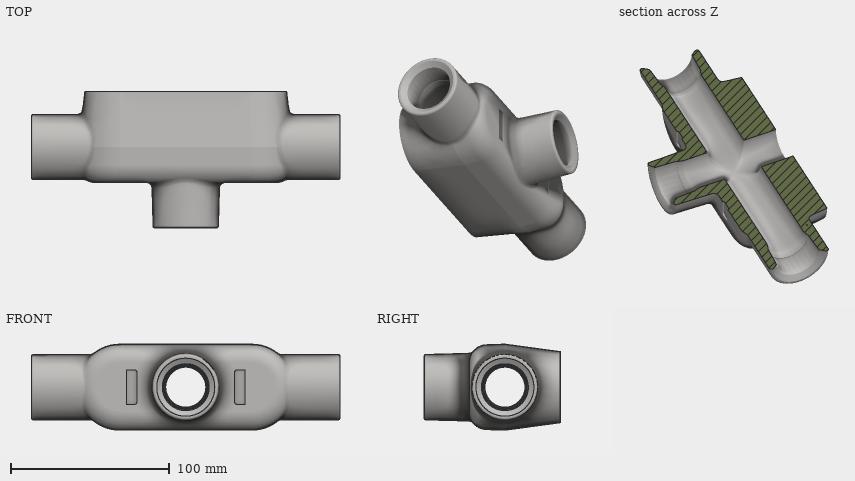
import cadquery as cq
import math

end_centre = 41.2
split_radius = 27.1
back_y = 35.0
back_radius = 22.3
front_y = -22.3
front_draft = 2.0
front_rounding = 11.0
back_draft = math.degrees(math.atan2(split_radius - back_radius, back_y))

run_reach = 97.2
branch_reach = 51.0
hub_radius = 20.6
branch_root_radius = 21.4
lip_rounding = 1.4
run_blend = 2.7
branch_blend = 3.5

mouth_radius = 18.3
socket_start_radius = 14.8
socket_end_radius = 14.0
stop_radius = 13.6
throat_radius = 12.6
chamfer_depth = 2.7
socket_depth = 17.5
throat_depth = 21.4

plate_width = 6.6
plate_height = 21.8
plate_depth = 1.0
plate_centre = 34.0
plate_corner = 1.7

seam_turn = 45
tolerance = 0.02


def drafted_obround(length, draft):
    """Obround narrowing away from the split plane, toward -Y (toward +Y if the length is negative)."""
    outline = cq.Workplane("XZ").slot2D(2 * (end_centre + split_radius), 2 * split_radius)
    return outline.extrude(length, taper=draft)


def turned(profile):
    """Solid of revolution about Z from (radius, height) points."""
    return cq.Workplane("XZ").polyline(profile).close().revolve(360, (0, 0), (0, 1))


def hub(reach, root_height, root_radius):
    """Hub along Z, straight up to the root height, drafted beyond it, with a rounded lip."""
    blank = turned([
        (0, 0),
        (root_radius, 0),
        (root_radius, root_height),
        (hub_radius, reach),
        (0, reach),
    ])
    blank = blank.faces(">Z").edges().fillet(lip_rounding)
    return blank.rotate((0, 0, 0), (0, 0, 1), seam_turn)


def bore(reach):
    """Cutter along Z: chamfered mouth, tapered socket, small stop step, cone to the throat."""
    return turned([
        (0, 0),
        (throat_radius, 0),
        (throat_radius, reach - throat_depth),
        (stop_radius, reach - socket_depth),
        (socket_end_radius, reach - socket_depth),
        (socket_start_radius, reach - chamfer_depth),
        (mouth_radius, reach),
        (0, reach),
    ])


def to_branch(shape):
    """Turn a shape built along +Z to point along -Y."""
    return shape.rotate((0, 0, 0), (1, 0, 0), 90)


def to_run(shape, side):
    """Turn a shape built along +Z to point along +X (side 1) or -X (side -1)."""
    return shape.rotate((0, 0, 0), (0, 1, 0), 90 * side)


def sample_points(edge):
    return [edge.positionAt(t) for t in (0.2, 0.5, 0.8)]


def at_run_root(edge):
    """True for the edges where a run hub meets the body."""
    body_end = end_centre + split_radius
    return all(
        abs(math.hypot(p.y, p.z) - hub_radius) < tolerance and end_centre < abs(p.x) < body_end
        for p in sample_points(edge)
    )


def at_branch_root(edge):
    """True for the edges where the branch hub meets the body."""
    return all(
        abs(math.hypot(p.x, p.z) - branch_root_radius) < tolerance and front_y - tolerance < p.y < 0
        for p in sample_points(edge)
    )


def plate_recess(side):
    """Cutter for one name-plate recess, rounded at its corners facing the branch."""
    plate = cq.Workplane("XY").box(plate_width, 2 * plate_depth, plate_height)
    plate = plate.edges("|Y and <X").fillet(plate_corner)
    plate = plate.translate((plate_centre, front_y, 0))
    return plate if side > 0 else plate.mirror("YZ")


front = drafted_obround(-front_y, front_draft).faces("<Y").edges().fillet(front_rounding)
back = drafted_obround(-back_y, back_draft)
body = front.union(back)
for side in (1, -1):
    body = body.union(to_run(hub(run_reach, end_centre, hub_radius), side))
body = body.union(to_branch(hub(branch_reach, -front_y, branch_root_radius)))
body = body.edges().filter(at_run_root).fillet(run_blend)
body = body.edges().filter(at_branch_root).fillet(branch_blend)

for side in (1, -1):
    body = body.cut(to_run(bore(run_reach), side))
    body = body.cut(plate_recess(side))
body = body.cut(to_branch(bore(branch_reach)))

body = body.cut(cq.Workplane("XZ").circle(throat_radius).extrude(-back_y))

result = body